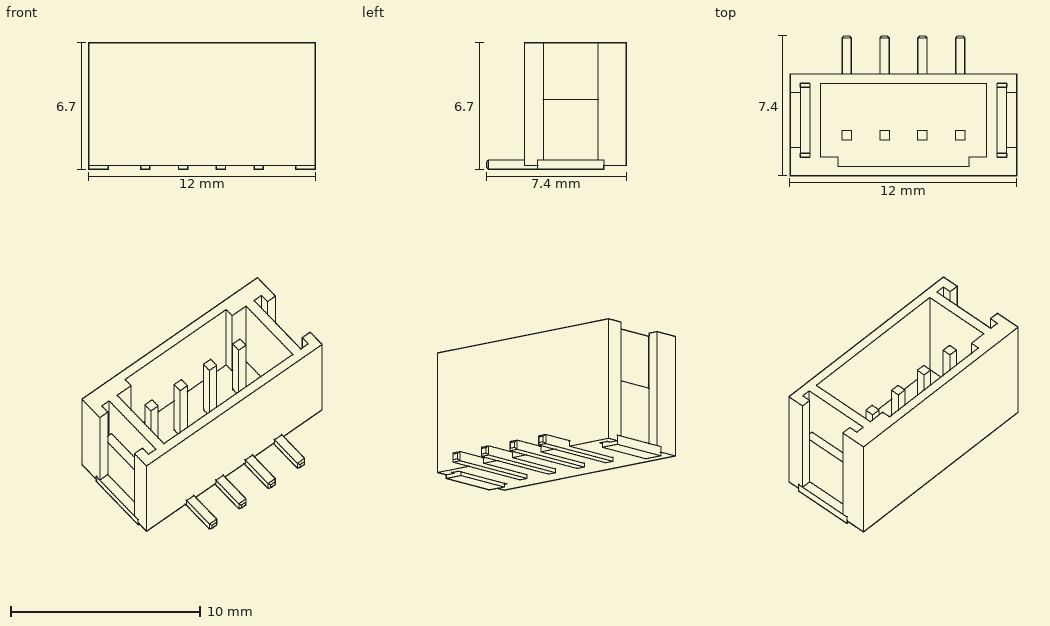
import cadquery as cq

housing_length = 12.0
housing_depth = 5.4
housing_height = 6.5

cavity_length = 8.8
back_wall = 0.5
front_wall = 1.0
floor_thickness = 1.0
key_length = 6.9
key_front_wall = 0.5

pin_count = 4
pin_pitch = 2.0
pin_width = 0.5
pin_front_setback = 2.15
pin_top = 5.5
tail_length = 2.0
tip_chamfer = 0.1

standoff = 0.2
tab_thickness = 0.5
tab_width = 3.5
tab_front_setback = 1.2
tab_top = 3.5

lip_thickness = 0.55
slot_front = front_wall
slot_back = housing_depth - back_wall
window_front = 1.5
window_back_setback = 1.0
window_back = housing_depth - window_back_setback

half_length = housing_length / 2
metal_bottom = -standoff
cavity_back = housing_depth - back_wall
foot_length = lip_thickness + tab_thickness


def block(x_range, y_range, z_range):
    """Axis-aligned box given by its (low, high) limits along each axis."""
    limits = (x_range, y_range, z_range)
    sizes = [high - low for low, high in limits]
    corner = tuple(low for low, high in limits)
    return cq.Workplane("XY").box(*sizes, centered=False).translate(corner)


def make_pin(x):
    """L-shaped square pin: upright post and a tail that runs out at the back."""
    half_width = pin_width / 2
    x_range = (x - half_width, x + half_width)
    post_front = pin_front_setback - half_width
    post_back = pin_front_setback + half_width
    tail_end = housing_depth + tail_length
    tail_top = metal_bottom + pin_width
    post = block(x_range, (post_front, post_back), (metal_bottom, pin_top))
    tail = block(x_range, (post_front, tail_end), (metal_bottom, tail_top))
    tail = tail.faces(">Y").chamfer(tip_chamfer)
    return post.union(tail)


def make_left_tab():
    """L-shaped tab: upright plate in the slot and a foot flush with the end face."""
    outer_x = -half_length
    inner_x = outer_x + foot_length
    y_range = (tab_front_setback, tab_front_setback + tab_width)
    plate = block((inner_x - tab_thickness, inner_x), y_range, (metal_bottom, tab_top))
    foot = block((outer_x, inner_x), y_range, (metal_bottom, metal_bottom + tab_thickness))
    return plate.union(foot)


def make_left_tab_opening():
    """Full-height tab slot together with the window through the end lip."""
    outer_x = -half_length
    slot_outer_x = outer_x + lip_thickness
    z_range = (0, housing_height)
    slot = block((slot_outer_x, slot_outer_x + tab_thickness), (slot_front, slot_back), z_range)
    window = block((outer_x, slot_outer_x), (window_front, window_back), z_range)
    return slot.union(window)


def make_cavity():
    """Cavity with a shallow keying recess in its front wall."""
    z_range = (floor_thickness, housing_height)
    main = block((-cavity_length / 2, cavity_length / 2), (front_wall, cavity_back), z_range)
    key = block((-key_length / 2, key_length / 2), (key_front_wall, front_wall), z_range)
    return main.union(key)


def make_housing(inserts):
    """Housing shell with matching pockets for the pins and tabs."""
    body = block((-half_length, half_length), (0, housing_depth), (0, housing_height))
    opening = make_left_tab_opening()
    body = body.cut(make_cavity()).cut(opening).cut(opening.mirror("YZ"))
    for insert in inserts:
        body = body.cut(insert)
    return body


first_pin_x = -pin_pitch * (pin_count - 1) / 2
pins = [make_pin(first_pin_x + index * pin_pitch) for index in range(pin_count)]

left_tab = make_left_tab()
tabs = [left_tab, left_tab.mirror("YZ")]

housing = make_housing(pins + tabs)

result = cq.Compound.makeCompound([body.val() for body in [housing, *pins, *tabs]])